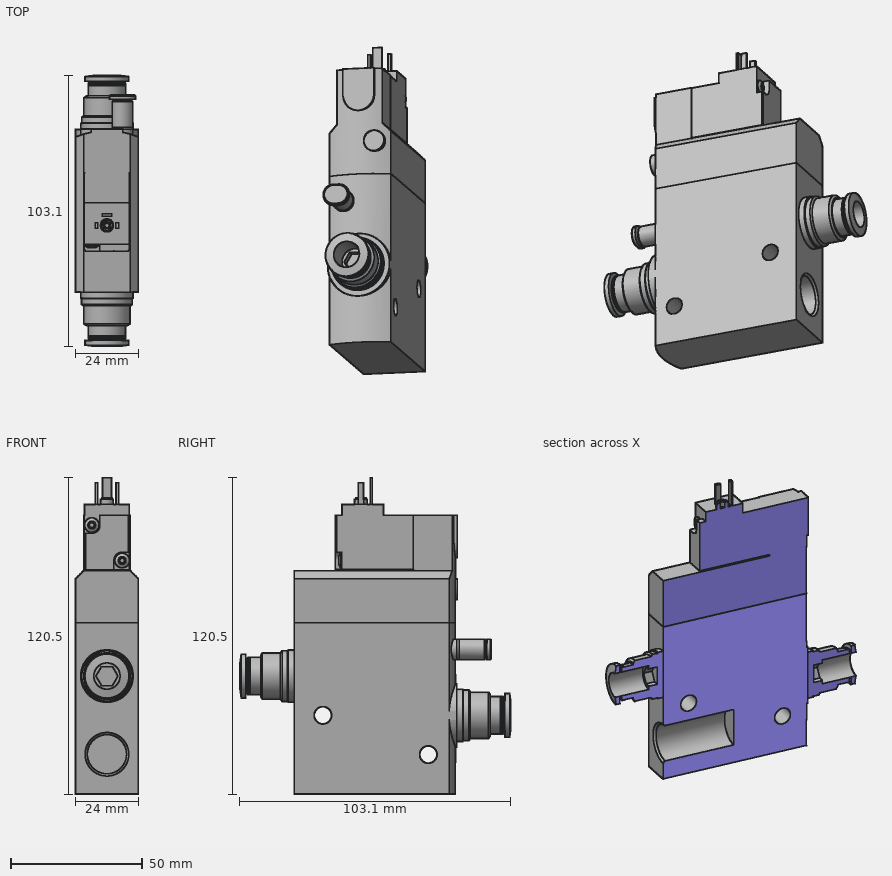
import cadquery as cq
import math


WIDTH = 24.0
EDGE_LENGTH = 59.0
CROWN_LENGTH = 61.5
SEAM_Z = 65.3
VALVE_TOP_Z = 85.1
SHOULDER = 3.1
NECK_WIDTH = WIDTH - 2 * SHOULDER

FRONT_FITTING_Z = 45.0
BACK_FITTING_Z = 30.0
BOSS_DIA = 24.2
BOSS_END_Y = 61.9
PORT_DIA = 15.0
PORT_MOUTH_DIA = 16.6
PORT_Z = 15.2
PORT_DEPTH = 30.1
MOUNT_HOLE_DIA = 6.5
MOUNT_HOLES = [(11.0, 30.0), (51.1, 15.1)]

FLANGE_DIA = 20.0
FLANGE_GROOVE_DIA = 19.0
COLLAR_DIA = 19.4
SLEEVE_DIA = 17.7
TUBE_END_DIA = 14.3
RELEASE_NECK_DIA = 11.5
RELEASE_CAP_DIA = 16.7
BORE_DIA = 10.0
FLANGE_END = 2.3
COLLAR_END = 4.6
SLEEVE_START = 5.2
SLEEVE_END = 12.8
TUBE_END = 17.8
CAP_START = 18.3
CAP_RIM = 20.1
FITTING_LENGTH = 20.6
FLANGE_GROOVE = 0.2
SLEEVE_BEVEL = 0.7
SLEEVE_BEVEL_RISE = 1.1
TUBE_END_BEVEL = 0.4
RING_GROOVE_START = 16.6
RING_GROOVE_END = 17.0
RING_GROOVE_DEPTH = 0.1
BORE_DEPTH = 14.5
KEY_FLATS = 7.2
KEY_DEPTH = 3.6

SMALL_X = 5.9
SMALL_Z = 55.1
SMALL_DIA = 8.0
SMALL_GROOVE_DIA = 7.8
SMALL_NECK_DIA = 5.0
SMALL_CAP_WIDTH = 10.0
SMALL_SEAT_Y = EDGE_LENGTH
SMALL_GROOVE_START_Y = 61.9
SMALL_GROOVE_END_Y = 62.8
SMALL_TUBE_END_Y = 72.8
SMALL_CAP_START_Y = 73.4
SMALL_CAP_END_Y = 75.1
SMALL_CAP_BEVEL = 0.5
SMALL_TUBE_BEVEL = 0.4

COIL_WIDTH = 17.1
COIL_FRONT_Y = 15.7
COVER_BACK_Y = 18.2
COIL_BACK_Y = 45.4
COIL_GAP = 0.4
COIL_TOP_Z = 106.2
SOCKET_BACK_Y = 34.1
SOCKET_TOP_Z = 110.3
COVER_BEVEL = 0.5

SCREW_X = 5.8
SCREW_Z = [102.4, 88.9]
SCREW_DIA = 5.5
SCREW_TOP_DIA = 2.9
SCREW_HEIGHT = 1.2
SCREW_RIM = 0.5
SCREW_SOCKET_FLATS = 1.8
SCREW_SOCKET_DEPTH = 0.7
NOTCH_RADIUS = 3.1

CONTACT_Y = 25.4
SIDE_CONTACT_X = 4.0
SIDE_CONTACT = (1.1, 2.0)
SIDE_CONTACT_TOP_Z = 118.6
EARTH_CONTACT_Y = 29.4
EARTH_CONTACT = (3.5, 0.8)
EARTH_CONTACT_TOP_Z = 120.5
THREAD_BOSS_DIA = 5.0
THREAD_BOSS_TOP_Z = 112.2
THREAD_LIP_DIA = 4.1
THREAD_LIP_TOP_Z = 112.8
THREAD_HOLE_DIA = 1.8
THREAD_MOUTH_DIA = 2.7

TAB_WIDTH = 12.0
TAB_BASE_Z = 95.9
TAB_Y = 62.2
BUTTON_X = -6.0
BUTTON_Z = 78.0
BUTTON_DIA = 8.0

INSIDE_Y = 56.6


def box(x_size, y_range, z_range, x_center=0.0):
    """Box between two y and two z positions, centred on x_center."""
    y0, y1 = y_range
    z0, z1 = z_range
    return cq.Workplane("XY").box(x_size, y1 - y0, z1 - z0, centered=(True, False, False)).translate(
        (x_center, y0, z0)
    )


def rod(dia, x, z, y_start, y_end):
    """Cylinder along Y."""
    return cq.Workplane("XZ", origin=(x, y_start, z)).circle(dia / 2).extrude(y_start - y_end)


def bulged_block(z_start, z_end):
    """Block with a flat front and a back face bulged in a flat arc."""
    half = WIDTH / 2
    return (
        cq.Workplane("XY", origin=(0, 0, z_start))
        .moveTo(-half, EDGE_LENGTH)
        .lineTo(-half, 0)
        .lineTo(half, 0)
        .lineTo(half, EDGE_LENGTH)
        .threePointArc((0, CROWN_LENGTH), (-half, EDGE_LENGTH))
        .close()
        .extrude(z_end - z_start)
    )


def make_base_block():
    block = bulged_block(0, SEAM_Z)

    boss = rod(BOSS_DIA, 0, BACK_FITTING_Z, INSIDE_Y, BOSS_END_Y)
    block = block.union(boss.intersect(box(WIDTH, (INSIDE_Y, BOSS_END_Y), (0, SEAM_Z))))

    mouth_bevel = (PORT_MOUTH_DIA - PORT_DIA) / 2
    port = (
        cq.Workplane("XY")
        .lineTo(PORT_MOUTH_DIA / 2, 0)
        .lineTo(PORT_DIA / 2, mouth_bevel)
        .lineTo(PORT_DIA / 2, PORT_DEPTH)
        .lineTo(0, PORT_DEPTH)
        .close()
        .revolve(360, (0, 0, 0), (0, 1, 0))
        .translate((0, 0, PORT_Z))
    )
    block = block.cut(port)

    holes = cq.Workplane("YZ").pushPoints(MOUNT_HOLES).circle(MOUNT_HOLE_DIA / 2).extrude(WIDTH, both=True)
    block = block.cut(holes)

    return block.cut(rod(SMALL_DIA, SMALL_X, SMALL_Z, SMALL_SEAT_Y, BOSS_END_Y))


def make_valve_housing():
    """Valve block with shouldered top, which narrows into the rear block of the solenoid."""
    half = WIDTH / 2
    neck = NECK_WIDTH / 2
    section = (
        cq.Workplane("XZ")
        .moveTo(-half, SEAM_Z)
        .lineTo(half, SEAM_Z)
        .lineTo(half, VALVE_TOP_Z - SHOULDER)
        .lineTo(neck, VALVE_TOP_Z)
        .lineTo(neck, COIL_TOP_Z)
        .lineTo(-neck, COIL_TOP_Z)
        .lineTo(-neck, VALVE_TOP_Z)
        .lineTo(-half, VALVE_TOP_Z - SHOULDER)
        .close()
        .extrude(-CROWN_LENGTH)
    )
    housing = bulged_block(SEAM_Z, COIL_TOP_Z).intersect(section)
    return housing.cut(box(WIDTH, (0, COIL_BACK_Y), (VALVE_TOP_Z, COIL_TOP_Z)))


def make_coil():
    """Coil body with raised socket top and bevelled cover plate."""
    bottom = VALVE_TOP_Z + COIL_GAP
    coil = box(COIL_WIDTH, (COIL_FRONT_Y, COIL_BACK_Y), (bottom, COIL_TOP_Z))
    coil = coil.edges("|Z and <Y").chamfer(COVER_BEVEL)
    coil = coil.union(box(COIL_WIDTH, (COVER_BACK_Y, SOCKET_BACK_Y), (bottom, SOCKET_TOP_Z)))
    for side, z in zip((-1, 1), SCREW_Z):
        coil = coil.cut(screw_notch(side, z)).union(cover_screw(side * SCREW_X, z))
    return coil


def screw_notch(side, z):
    """Corner notch through the cover plate, rounded about the screw on its inner corner.

    The left notch is open to the top, the right one to the bottom.
    """
    reach = COIL_WIDTH / 2
    opening_z = COIL_TOP_Z if side < 0 else VALVE_TOP_Z
    plate = (COIL_FRONT_Y, COVER_BACK_Y)
    inner_x = side * (SCREW_X - NOTCH_RADIUS)
    toward_opening = 1 if side < 0 else -1
    inner_z = z - toward_opening * NOTCH_RADIUS
    notch = rod(2 * NOTCH_RADIUS, side * SCREW_X, z, *plate)
    inner_slot = box(reach, plate, sorted((z, opening_z)), inner_x + side * reach / 2)
    outer_slot = box(reach, plate, sorted((inner_z, opening_z)), side * (SCREW_X + reach / 2))
    return notch.union(inner_slot).union(outer_slot)


def cover_screw(x, z):
    """Screw head with bevelled rim and hexagon socket on the set-back face."""
    head = (
        cq.Workplane("XY")
        .lineTo(SCREW_DIA / 2, 0)
        .lineTo(SCREW_DIA / 2, -SCREW_RIM)
        .lineTo(SCREW_TOP_DIA / 2, -SCREW_HEIGHT)
        .lineTo(0, -SCREW_HEIGHT)
        .close()
        .revolve(360, (0, 0, 0), (0, 1, 0))
    )
    corners = SCREW_SOCKET_FLATS / math.cos(math.pi / 6)
    socket = cq.Workplane("XZ", origin=(0, -SCREW_HEIGHT, 0)).polygon(6, corners).extrude(-SCREW_SOCKET_DEPTH)
    return head.cut(socket).translate((x, COVER_BACK_Y, z))


def make_contacts():
    """Two line contacts, the earth contact and the threaded boss between them."""
    contacts = box(
        EARTH_CONTACT[0],
        (EARTH_CONTACT_Y - EARTH_CONTACT[1] / 2, EARTH_CONTACT_Y + EARTH_CONTACT[1] / 2),
        (COIL_TOP_Z, EARTH_CONTACT_TOP_Z),
    )
    side_range = (CONTACT_Y - SIDE_CONTACT[1] / 2, CONTACT_Y + SIDE_CONTACT[1] / 2)
    for side in (-1, 1):
        contacts = contacts.union(
            box(SIDE_CONTACT[0], side_range, (COIL_TOP_Z, SIDE_CONTACT_TOP_Z), side * SIDE_CONTACT_X)
        )
    mouth_depth = (THREAD_MOUTH_DIA - THREAD_HOLE_DIA) / 2
    boss = (
        cq.Workplane("XZ")
        .moveTo(0, COIL_TOP_Z)
        .lineTo(THREAD_BOSS_DIA / 2, COIL_TOP_Z)
        .lineTo(THREAD_BOSS_DIA / 2, THREAD_BOSS_TOP_Z)
        .lineTo(THREAD_LIP_DIA / 2, THREAD_BOSS_TOP_Z)
        .lineTo(THREAD_LIP_DIA / 2, THREAD_LIP_TOP_Z)
        .lineTo(THREAD_MOUTH_DIA / 2, THREAD_LIP_TOP_Z)
        .lineTo(THREAD_HOLE_DIA / 2, THREAD_LIP_TOP_Z - mouth_depth)
        .lineTo(THREAD_HOLE_DIA / 2, SOCKET_TOP_Z)
        .lineTo(0, SOCKET_TOP_Z)
        .close()
        .revolve(360, (0, 0, 0), (0, 1, 0))
        .translate((0, CONTACT_Y, 0))
    )
    return contacts.union(boss)


def make_back_features():
    """Round-ended tab and push button that stand out from the bulged back face."""
    tab = box(TAB_WIDTH, (INSIDE_Y, TAB_Y), (TAB_BASE_Z, COIL_TOP_Z))
    tab = tab.union(rod(TAB_WIDTH, 0, TAB_BASE_Z, INSIDE_Y, TAB_Y))
    return tab.union(rod(BUTTON_DIA, BUTTON_X, BUTTON_Z, INSIDE_Y, TAB_Y))


def make_valve_block():
    return make_valve_housing().union(make_coil()).union(make_contacts()).union(make_back_features())


def make_large_fitting():
    """Push-in fitting pointing to +Y, with its seat on y = 0."""
    tube = TUBE_END_DIA / 2
    groove = tube - RING_GROOVE_DEPTH
    body = (
        cq.Workplane("XY")
        .lineTo(FLANGE_DIA / 2, 0)
        .lineTo(FLANGE_DIA / 2, FLANGE_END)
        .lineTo(FLANGE_GROOVE_DIA / 2, FLANGE_END)
        .lineTo(FLANGE_GROOVE_DIA / 2, FLANGE_END + FLANGE_GROOVE)
        .lineTo(COLLAR_DIA / 2, FLANGE_END + FLANGE_GROOVE)
        .lineTo(COLLAR_DIA / 2, COLLAR_END)
        .lineTo(SLEEVE_DIA / 2, SLEEVE_START)
        .lineTo(SLEEVE_DIA / 2, SLEEVE_END - SLEEVE_BEVEL)
        .lineTo(SLEEVE_DIA / 2 - SLEEVE_BEVEL_RISE, SLEEVE_END)
        .lineTo(tube, SLEEVE_END)
        .lineTo(tube, RING_GROOVE_START)
        .lineTo(groove, RING_GROOVE_START)
        .lineTo(groove, RING_GROOVE_END)
        .lineTo(tube, RING_GROOVE_END)
        .lineTo(tube, TUBE_END - TUBE_END_BEVEL)
        .lineTo(tube - TUBE_END_BEVEL, TUBE_END)
        .lineTo(RELEASE_NECK_DIA / 2, TUBE_END)
        .lineTo(RELEASE_NECK_DIA / 2, CAP_START)
        .lineTo(RELEASE_CAP_DIA / 2, CAP_START)
        .lineTo(RELEASE_CAP_DIA / 2, CAP_RIM)
        .lineTo(BORE_DIA / 2, FITTING_LENGTH)
        .lineTo(BORE_DIA / 2, FITTING_LENGTH - BORE_DEPTH)
        .lineTo(0, FITTING_LENGTH - BORE_DEPTH)
        .close()
        .revolve(360, (0, 0, 0), (0, 1, 0))
    )
    key_corners = KEY_FLATS / math.cos(math.pi / 6)
    key_start = FITTING_LENGTH - BORE_DEPTH
    key = cq.Workplane("XZ", origin=(0, key_start, 0)).polygon(6, key_corners).extrude(KEY_DEPTH)
    return body.cut(key)


def make_small_fitting():
    """Small push-in fitting with an oval release cap."""
    fitting = rod(SMALL_DIA, 0, 0, SMALL_SEAT_Y, SMALL_GROOVE_START_Y)
    fitting = fitting.union(rod(SMALL_GROOVE_DIA, 0, 0, SMALL_GROOVE_START_Y, SMALL_GROOVE_END_Y))
    tube = rod(SMALL_DIA, 0, 0, SMALL_GROOVE_END_Y, SMALL_TUBE_END_Y)
    fitting = fitting.union(tube.faces(">Y").chamfer(SMALL_TUBE_BEVEL))
    fitting = fitting.union(rod(SMALL_NECK_DIA, 0, 0, SMALL_TUBE_END_Y, SMALL_CAP_START_Y))
    cap = (
        cq.Workplane("XZ", origin=(0, SMALL_CAP_START_Y, 0))
        .slot2D(SMALL_CAP_WIDTH, SMALL_DIA)
        .extrude(SMALL_CAP_START_Y - SMALL_CAP_END_Y)
        .faces(">Y")
        .chamfer(SMALL_CAP_BEVEL)
    )
    return fitting.union(cap).translate((SMALL_X, 0, SMALL_Z))


base_block = make_base_block()
valve_block = make_valve_block()
small_fitting = make_small_fitting()

large_fittings = []
for seat_y, seat_z, turn in ((0, FRONT_FITTING_Z, 180), (BOSS_END_Y, BACK_FITTING_Z, 0)):
    fitting = make_large_fitting().rotate((0, 0, 0), (0, 0, 1), turn).translate((0, seat_y, seat_z))
    large_fittings.append(fitting.val())

result = cq.Compound.makeCompound(
    [base_block.val(), valve_block.val(), small_fitting.val(), *large_fittings]
)